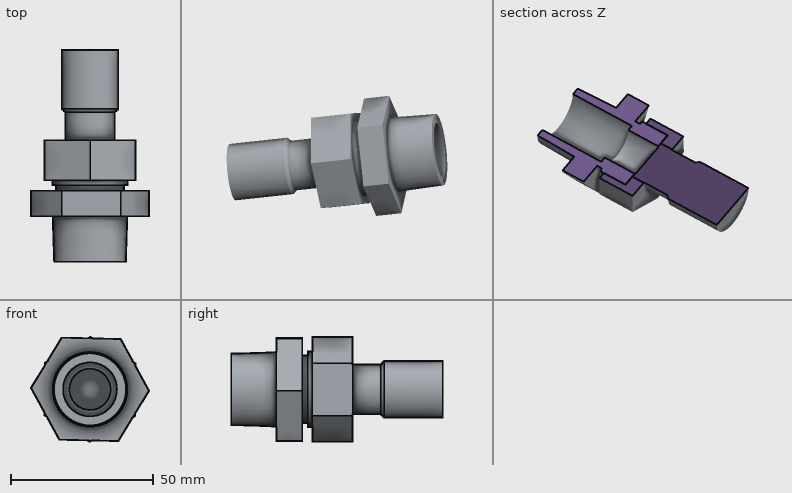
import cadquery as cq
import math

TOTAL_LENGTH = 74.5

SPIGOT_END_DIAMETER = 25.3
SPIGOT_LENGTH = 15.95
SPIGOT_TAPER = 1 / 16
FITTING_HEX_FLATS = 36.0
FITTING_HEX_THICKNESS = 9.1
FITTING_HEX_TILT = 1.36
NECK_DIAMETER = 24.0
NECK_LENGTH = 1.9
COLLAR_DIAMETER = 26.7
COLLAR_EXPOSED_LENGTH = 1.65
BORE_DIAMETER = 19.0
INNER_BORE_DIAMETER = 14.5

NUT_FLATS = 31.95
NUT_LENGTH = 14.15
NUT_WALL = 4.8
NUT_TILT = 30.4

STUB_SHANK_DIAMETER = 17.6
STUB_HEAD_DIAMETER = 20.0
STUB_HEAD_LENGTH = 21.9

hex_start = SPIGOT_LENGTH
hex_end = hex_start + FITTING_HEX_THICKNESS
collar_start = hex_end + NECK_LENGTH
nut_start = collar_start + COLLAR_EXPOSED_LENGTH
nut_end = nut_start + NUT_LENGTH
fitting_end = nut_end - NUT_WALL
stub_head_start = TOTAL_LENGTH - STUB_HEAD_LENGTH


def plane_at(y):
    """Plane across the axis, with its normal along +Y and its local x along +X."""
    return cq.Plane(origin=(0, y, 0), xDir=(1, 0, 0), normal=(0, 1, 0))


def cylinder(diameter, start, end):
    return cq.Workplane(plane_at(start)).circle(diameter / 2).extrude(end - start)


def hexagon(flats, start, end, tilt):
    """Hexagonal prism whose corners lie on the X axis before it is tilted about Y."""
    corners = flats / math.cos(math.radians(30))
    prism = cq.Workplane(plane_at(start)).polygon(6, corners).extrude(end - start)
    return prism.rotate((0, 0, 0), (0, 1, 0), tilt)


def make_fitting():
    base_diameter = SPIGOT_END_DIAMETER + SPIGOT_LENGTH * SPIGOT_TAPER
    spigot = (
        cq.Workplane("XY")
        .moveTo(0, 0)
        .lineTo(SPIGOT_END_DIAMETER / 2, 0)
        .lineTo(base_diameter / 2, SPIGOT_LENGTH)
        .lineTo(0, SPIGOT_LENGTH)
        .close()
        .revolve(360, (0, 0, 0), (0, 1, 0))
    )
    outside = (
        spigot
        .union(hexagon(FITTING_HEX_FLATS, hex_start, hex_end, FITTING_HEX_TILT))
        .union(cylinder(NECK_DIAMETER, hex_end, collar_start))
        .union(cylinder(COLLAR_DIAMETER, collar_start, fitting_end))
    )
    bore = cylinder(BORE_DIAMETER, 0, hex_end)
    inner_bore = cylinder(INNER_BORE_DIAMETER, hex_end, fitting_end)
    return outside.cut(bore).cut(inner_bore)


def make_nut():
    collar_socket = cylinder(COLLAR_DIAMETER, nut_start, fitting_end)
    stub_hole = cylinder(STUB_SHANK_DIAMETER, fitting_end, nut_end)
    return hexagon(NUT_FLATS, nut_start, nut_end, NUT_TILT).cut(collar_socket).cut(stub_hole)


def make_stub():
    """The stub rests on the end of the fitting and closes its bore."""
    chamfer = (STUB_HEAD_DIAMETER - STUB_SHANK_DIAMETER) / 2
    head = cylinder(STUB_HEAD_DIAMETER, stub_head_start, TOTAL_LENGTH).faces("<Y").chamfer(chamfer)
    return cylinder(STUB_SHANK_DIAMETER, fitting_end, stub_head_start).union(head)


fitting = make_fitting()
nut = make_nut()
stub = make_stub()

result = cq.Compound.makeCompound([fitting.val(), nut.val(), stub.val()])